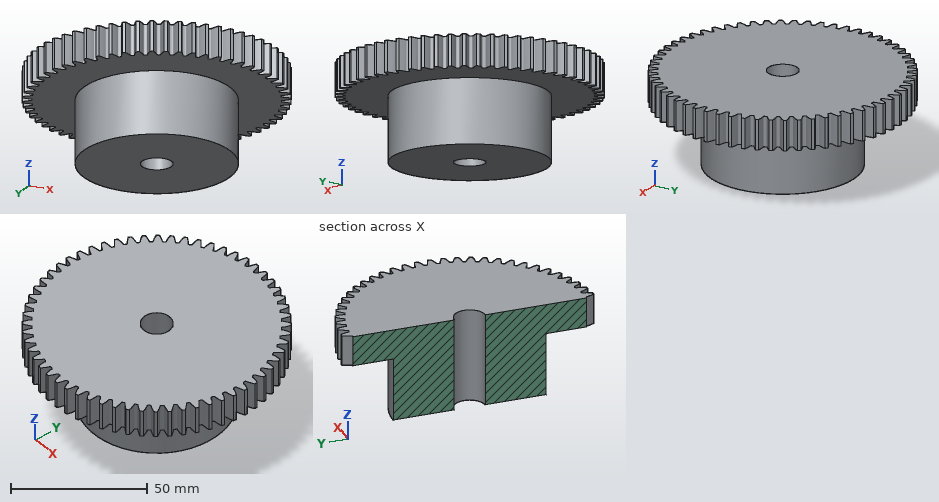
import cadquery as cq
import math

overall_width = 98.6
overall_height = 37.0
gear_thickness = 12.0
hub_diameter = 59.9
bore_diameter = 12.0

tooth_count = 60
pressure_angle = math.radians(20)
dedendum_in_modules = 1.25
root_fillet_radius = 0.4
flank_point_count = 6
cutter_overshoot = 0.5


def involute(angle):
    """Involute function of a pressure angle in radians."""
    return math.tan(angle) - angle


half_pitch_angle = math.pi / tooth_count

tip_pressure_angle = math.acos(tooth_count * math.cos(pressure_angle) / (tooth_count + 2))
tip_half_angle = half_pitch_angle / 2 + involute(pressure_angle) - involute(tip_pressure_angle)

outer_radius = overall_width / 2 / math.cos(half_pitch_angle - tip_half_angle)
module = 2 * outer_radius / (tooth_count + 2)
pitch_radius = module * tooth_count / 2
base_radius = pitch_radius * math.cos(pressure_angle)
root_radius = pitch_radius - dedendum_in_modules * module


def space_half_angle(radius):
    """Half of the angle that a tooth space covers at the given radius."""
    local_pressure_angle = math.acos(base_radius / radius)
    return half_pitch_angle / 2 - involute(pressure_angle) + involute(local_pressure_angle)


def polar_point(radius, angle):
    return (radius * math.cos(angle), radius * math.sin(angle))


def make_space_cutter():
    """One tooth space centred on +X, with involute flanks and a rounded root."""
    radial_step = (outer_radius + cutter_overshoot - root_radius) / (flank_point_count - 1)
    radii = [root_radius + i * radial_step for i in range(flank_point_count)]
    upper_flank = [polar_point(r, space_half_angle(r)) for r in radii]
    lower_flank = [polar_point(r, -space_half_angle(r)) for r in reversed(radii)]
    return (
        cq.Workplane("XY")
        .moveTo(*upper_flank[0])
        .spline(upper_flank[1:], includeCurrent=True)
        .lineTo(*lower_flank[0])
        .spline(lower_flank[1:], includeCurrent=True)
        .threePointArc((root_radius, 0), upper_flank[0])
        .close()
        .extrude(gear_thickness)
        .edges("|Z and <X")
        .fillet(root_fillet_radius)
    )


def make_gear():
    """Toothed disc standing on Z = 0."""
    space_cutter = make_space_cutter().val()
    origin = (0, 0, 0)
    z_axis = (0, 0, 1)
    spaces = [
        space_cutter.rotate(origin, z_axis, i * 360 / tooth_count)
        for i in range(tooth_count)
    ]
    blank = cq.Workplane("XY").circle(outer_radius).extrude(gear_thickness)
    return blank.cut(cq.Compound.makeCompound(spaces))


hub_height = overall_height - gear_thickness
hub = cq.Workplane("XY").circle(hub_diameter / 2).extrude(-hub_height)
bore = (
    cq.Workplane("XY", origin=(0, 0, -hub_height))
    .circle(bore_diameter / 2)
    .extrude(overall_height)
)

result = make_gear().union(hub).cut(bore)